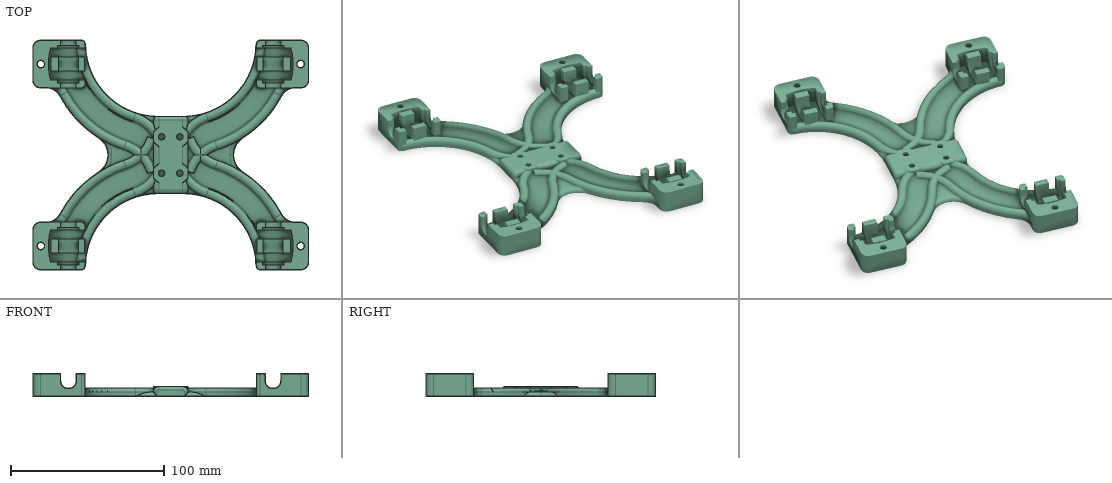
import cadquery as cq
import math

length = 180.0
width = 150.0
pad_height = 14.8

pad_x = 34.0
pad_y = 31.1
pad_outer_corner = 5.0
pad_inner_corner = 2.3
pad_left = -length / 2
pad_right = pad_left + pad_x
pad_back = width / 2
pad_front = pad_back - pad_y
pad_mid_y = pad_back - pad_y / 2
pad_hole_offset = 5.2
pad_hole_diameter = 4.7

bay_left = -78.5
bay_width = 20.7
bay_bulge = 1.5
motor_x = -66.8
motor_z = 10.0
shaft_slot_radius = 5.0
bearing_radius = 7.0
bearing_width = 24.5

cradle_left = -78.1
cradle_right = -56.2
cradle_width = 9.0
cradle_height = 14.4
cradle_radius = 6.5

floor_height = 2.7
arm_centre = (-8.3, 72.5)
outside_radius = 47.3
inside_radius = 72.5
rail_radius = 2.9
rail_cove = 0.7
flare_radius = 9.9
web_radius = 13.5
edge_round = 2.5
bend_angle = 252.0
bend_radius = 27.0
outside_bend_sweep = 40.0
inside_bend_sweep = 54.0

plate_x = 22.7
plate_y = 2 * (arm_centre[1] - outside_radius)
plate_height = 6.5
plate_end_round = 2.3
plate_side_round = 3.6
bolt_x = 6.0
bolt_y = 11.9
bolt_diameter = 4.1
bolt_depth = 3.6
land_outer_y = 6.5
land_inner_y = 12.6


def polar(centre, radius, angle):
    """Point at a given radius and angle (degrees) from a centre."""
    turn = math.radians(angle)
    return (centre[0] + radius * math.cos(turn), centre[1] + radius * math.sin(turn))


def angle_to(start, end):
    """Direction in degrees from one point to another."""
    return math.degrees(math.atan2(end[1] - start[1], end[0] - start[0]))


def block(x_min, x_max, y_mid, y_size, z_min, z_max):
    """Upright box given by its X range, Y centre and size, and Z range."""
    box = cq.Workplane("XY").box(x_max - x_min, y_size, z_max - z_min, centered=(False, True, False))
    return box.translate((x_min, y_mid, z_min))


def motor_cut(radius, y_size):
    """Horizontal bore along Y on the motor axis, open straight up."""
    bore = cq.Workplane("XZ").circle(radius).extrude(y_size)
    bore = bore.translate((motor_x, pad_mid_y + y_size / 2, motor_z))
    return bore.union(block(motor_x - radius, motor_x + radius, pad_mid_y, y_size, motor_z, pad_height))


def rail(centre, radius, start, end, cove_side):
    """Half-round rail along an arc; cove_side is +1 or -1 for a cove away from or towards the centre."""
    cove_reach = math.sqrt((rail_radius + rail_cove) ** 2 - rail_cove**2)
    touch = rail_radius / (rail_radius + rail_cove)
    profile = (
        cq.Workplane("XZ")
        .moveTo(radius - cove_side * rail_radius, 0)
        .lineTo(radius - cove_side * rail_radius, floor_height)
        .radiusArc((radius, floor_height + rail_radius), cove_side * rail_radius)
        .radiusArc(
            (radius + cove_side * cove_reach * touch, floor_height + rail_cove * touch),
            cove_side * rail_radius,
        )
        .radiusArc((radius + cove_side * cove_reach, floor_height), -cove_side * rail_cove)
        .lineTo(radius + cove_side * cove_reach, 0)
        .close()
    )
    swept = profile.revolve(end - start, (0, 0, 0), (0, 1, 0))
    return swept.rotate((0, 0, 0), (0, 0, 1), start).translate((centre[0], centre[1], 0))


flare_y = pad_front - flare_radius
flare_x = arm_centre[0] - math.sqrt((inside_radius + flare_radius) ** 2 - (arm_centre[1] - flare_y) ** 2)
flare_centre = (flare_x, flare_y)
flare_angle = angle_to(flare_centre, arm_centre)
web_x = arm_centre[0] - math.sqrt((inside_radius + web_radius) ** 2 - arm_centre[1] ** 2)
web_centre = (web_x, 0)
web_angle = angle_to(web_centre, arm_centre)


def arm_floor():
    """Flat floor of one arm with its share of the web, rounded along the free top edges."""
    web_mid = polar(web_centre, web_radius, web_angle / 2)
    inside_start = polar(web_centre, web_radius, web_angle)
    inside_end = polar(flare_centre, flare_radius, flare_angle)
    inside_mid = polar(arm_centre, inside_radius, (flare_angle + web_angle) / 2 + 180)
    flare_mid = polar(flare_centre, flare_radius, (flare_angle + 90) / 2)
    outside_start = (arm_centre[0] - outside_radius, arm_centre[1])
    outside_mid = polar(arm_centre, outside_radius, 225)
    slab = (
        cq.Workplane("XY")
        .moveTo(web_x + web_radius, 0)
        .threePointArc(web_mid, inside_start)
        .threePointArc(inside_mid, inside_end)
        .threePointArc(flare_mid, (flare_x, pad_front))
        .lineTo(flare_x, arm_centre[1])
        .lineTo(*outside_start)
        .threePointArc(outside_mid, (arm_centre[0], plate_y / 2))
        .lineTo(0, plate_y / 2)
        .lineTo(0, 0)
        .close()
        .extrude(floor_height)
    )
    web_edge = cq.selectors.NearestToPointSelector((*web_mid, floor_height))
    outside_edge = cq.selectors.NearestToPointSelector((*outside_mid, floor_height))
    return slab.edges(web_edge).fillet(edge_round).edges(outside_edge).fillet(edge_round)


def arm_rails():
    """Rails along both edges of one arm, bending back the other way where they reach the plate."""
    outside_ridge = outside_radius + rail_radius
    inside_ridge = inside_radius - rail_radius
    outside_bend = polar(arm_centre, outside_ridge + bend_radius, bend_angle)
    inside_bend = polar(arm_centre, inside_ridge + bend_radius, bend_angle)
    bend_start = bend_angle - 180
    rails = rail(arm_centre, outside_ridge, 180, bend_angle, 1)
    rails = rails.union(rail(arm_centre, inside_ridge, flare_angle + 180, bend_angle, -1))
    rails = rails.union(rail(outside_bend, bend_radius, bend_start - outside_bend_sweep, bend_start, -1))
    return rails.union(rail(inside_bend, bend_radius, bend_start - inside_bend_sweep, bend_start, 1))


def motor_pad():
    """Pad with its motor bay, bearing seats and cradle."""
    pad = block(pad_left, pad_right, pad_mid_y, pad_y, 0, pad_height)
    pad = pad.edges("|Z and <X").fillet(pad_outer_corner)
    pad = pad.edges("|Z and >X").fillet(pad_inner_corner)
    pad = pad.union(rail(flare_centre, flare_radius + rail_radius, flare_angle, 90, 1))

    half_bay = bay_width / 2
    bay = (
        cq.Workplane("XY")
        .workplane(offset=floor_height)
        .moveTo(pad_right, pad_mid_y - half_bay)
        .lineTo(bay_left, pad_mid_y - half_bay)
        .threePointArc((bay_left - bay_bulge, pad_mid_y), (bay_left, pad_mid_y + half_bay))
        .lineTo(pad_right, pad_mid_y + half_bay)
        .close()
        .extrude(pad_height)
    )
    pad = pad.cut(bay)
    pad = pad.cut(motor_cut(bearing_radius, bearing_width))

    cradle = block(cradle_left, cradle_right, pad_mid_y, cradle_width, 0, cradle_height)
    return pad.union(cradle.cut(motor_cut(cradle_radius, cradle_width)))


def quarter():
    """One pad with its arm."""
    body = arm_floor().union(motor_pad()).union(arm_rails())
    body = body.cut(motor_cut(shaft_slot_radius, pad_y))
    hole = cq.Workplane("XY").circle(pad_hole_diameter / 2).extrude(pad_height)
    return body.cut(hole.translate((pad_left + pad_hole_offset, pad_mid_y, 0)))


def centre_plate():
    """Bolt plate with rounded top edges and full-height lands beside the bolts, where the arms end."""
    plate = cq.Workplane("XY").box(plate_x, plate_y, plate_height, centered=(True, True, False))
    plate = plate.edges(">Z and |Y").fillet(plate_side_round)
    plate = plate.edges(">Z and |X").fillet(plate_end_round)
    side = plate_x / 2
    flat_side = side - plate_side_round
    for y in (-bolt_y, bolt_y):
        land = (
            cq.Workplane("XY")
            .moveTo(side, y - land_outer_y / 2)
            .lineTo(side, y + land_outer_y / 2)
            .lineTo(flat_side, y + land_inner_y / 2)
            .lineTo(-flat_side, y + land_inner_y / 2)
            .lineTo(-side, y + land_outer_y / 2)
            .lineTo(-side, y - land_outer_y / 2)
            .lineTo(-flat_side, y - land_inner_y / 2)
            .lineTo(flat_side, y - land_inner_y / 2)
            .close()
            .extrude(plate_height)
        )
        plate = plate.union(land)
    return plate


left_side = quarter()
left_side = left_side.union(left_side.mirror("XZ"))
body = left_side.union(left_side.mirror("YZ")).union(centre_plate())
bolt_holes = (
    cq.Workplane("XY")
    .workplane(offset=plate_height)
    .rect(2 * bolt_x, 2 * bolt_y, forConstruction=True)
    .vertices()
    .circle(bolt_diameter / 2)
    .extrude(-bolt_depth)
)
result = body.cut(bolt_holes)